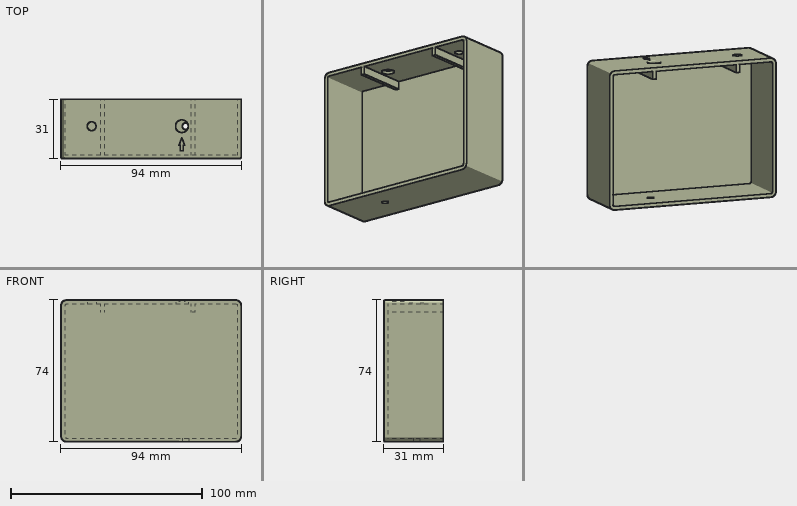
import cadquery as cq

width = 94.0
depth = 31.0
height = 74.0
wall = 2.0
corner_radius = 3.0
front_fillet = 0.8

hole_y = 16.9
small_hole_x = -31.0
small_hole_diameter = 4.6
port_x = 16.0
port_diameter = 6.6
port_fillet = 0.6
rim_tolerance = 0.1
outlet_x = 18.0
outlet_diameter = 3.4

rib_offset = 4.6
rib_thickness = 2.0
rib_drop = 4.2
rib_embed = wall / 2

arrow_tip_y = 10.9
arrow_length = 6.8
arrow_head_length = 4.0
arrow_head_width = 3.0
arrow_shaft_width = 1.7
arrow_depth = 0.6

top_z = height / 2
bottom_z = -height / 2


def make_shell():
    """Rounded box, filleted around the front face and open at the back."""
    body = (
        cq.Workplane("XY")
        .box(width, depth, height, centered=(True, False, True))
        .edges("|Y")
        .fillet(corner_radius)
        .faces("<Y")
        .edges()
        .fillet(front_fillet)
    )
    cavity = (
        cq.Workplane("XY")
        .box(width - 2 * wall, depth - wall, height - 2 * wall, centered=(True, False, True))
        .edges("|Y")
        .fillet(corner_radius - wall)
        .translate((0, wall, 0))
    )
    return body.cut(cavity)


def make_rib(hole_x):
    """Rib beside a top opening, running from the front wall to the open back."""
    return (
        cq.Workplane("XY", origin=(hole_x + rib_offset, 0, top_z - wall - rib_drop))
        .box(rib_thickness, depth - wall, rib_drop + rib_embed, centered=False)
        .translate((0, wall, 0))
    )


def make_wall_drill(x, diameter, start_z):
    """Cylinder that goes up from start_z through one wall thickness."""
    return cq.Workplane("XY", origin=(x, hole_y, start_z)).circle(diameter / 2).extrude(wall)


def round_port_mouth(body):
    """Round the outer rim of the port."""
    rim_radius = port_diameter / 2
    near_corner = (port_x - rim_radius, hole_y - rim_radius, top_z - rim_tolerance)
    far_corner = (port_x + rim_radius, hole_y + rim_radius, top_z + rim_tolerance)
    rim = cq.selectors.BoxSelector(near_corner, far_corner)
    return body.faces(">Z").edges(rim).fillet(port_fillet)


def make_arrow():
    """Arrow-shaped engraving tool, symmetric about the port's X position."""
    head_y = arrow_tip_y - arrow_head_length
    tail_y = arrow_tip_y - arrow_length
    half_head = arrow_head_width / 2
    half_shaft = arrow_shaft_width / 2
    outline = [
        (0, arrow_tip_y),
        (half_head, head_y),
        (half_shaft, head_y),
        (half_shaft, tail_y),
        (-half_shaft, tail_y),
        (-half_shaft, head_y),
        (-half_head, head_y),
    ]
    return (
        cq.Workplane("XY", origin=(port_x, 0, top_z - arrow_depth))
        .polyline(outline)
        .close()
        .extrude(arrow_depth)
    )


shell = make_shell()
for opening_x, opening_diameter in (
    (small_hole_x, small_hole_diameter),
    (port_x, port_diameter),
):
    shell = shell.union(make_rib(opening_x))
    shell = shell.cut(make_wall_drill(opening_x, opening_diameter, top_z - wall))
shell = shell.cut(make_wall_drill(outlet_x, outlet_diameter, bottom_z))
shell = round_port_mouth(shell)
result = shell.cut(make_arrow())